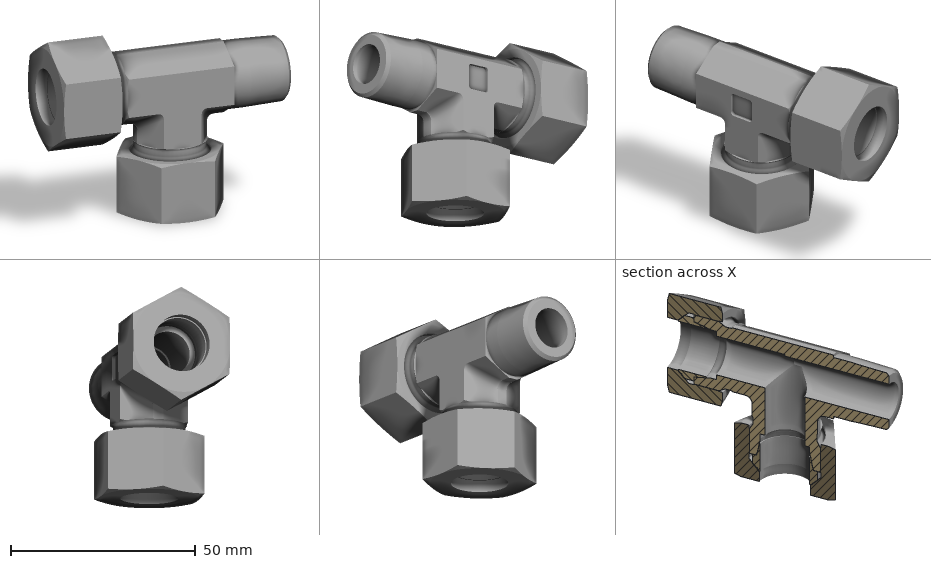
import cadquery as cq
import math


HEX_HALF_ANGLE = math.radians(30)

BODY_ACROSS_FLATS = 19.0
RIDGE_FLAT_WIDTH = 3.0
BODY_CORNER_RADIUS = BODY_ACROSS_FLATS / 2 / math.cos(HEX_HALF_ANGLE)
RIDGE_HEIGHT = BODY_CORNER_RADIUS - RIDGE_FLAT_WIDTH / 2 * math.tan(HEX_HALF_ANGLE)
FLAT_HALF_HEIGHT = BODY_ACROSS_FLATS / 2 * math.tan(HEX_HALF_ANGLE)
STUD_SHOULDER = 15.0
PORT_SHOULDER = 16.0
CROTCH_FILLET = 2.0
EDGE_BOX_MARGIN = 0.1
BODY_CHAMFER_ANGLE = math.radians(30)

STUD_END = 32.0
STUD_DIAMETER = 18.7
STUD_COLLAR_LENGTH = 5.0
STUD_TAPER = 1 / 16
STUD_CHAMFER = 0.9
STUD_BORE = 11.0

THREAD_RADIUS = 22.0 / 2
SHOULDER_RADIUS = 20.38 / 2
PORT_END = 28.0
UNDERCUT_DEPTH_RADIUS = 19.7 / 2
UNDERCUT_FILLET = 0.8
UNDERCUT_FLOOR_END = 18.1
RUNOUT_ANGLE = math.radians(30)
PORT_BORE = 12.0
TUBE_RADIUS = 15.0 / 2
TUBE_STOP = 21.0
SOCKET_MOUTH_RADIUS = 17.3 / 2
SOCKET_HALF_ANGLE = math.radians(12)

BADGE_SIZE = 7.0
BADGE_CORNER = 1.0
BADGE_DEPTH = 1.0

NUT_ACROSS_FLATS = 27.0
NUT_START = 19.0
NUT_END = 36.0
NUT_MOUTH_RADIUS = 22.5 / 2
NUT_BORE_RADIUS = 15.6 / 2
NUT_CHAMFER_ANGLE = math.radians(15)

RING_START = 24.0
RING_END = 32.7
RING_COLLAR_RADIUS = 20.0 / 2


def revolve_about_y(points):
    return cq.Workplane("XY").polyline(points).close().revolve(360, (0, 0), (0, 1))


def to_run_port(part):
    """Turn a part from +Y to the run port on -Y."""
    return part.rotate((0, 0, 0), (0, 0, 1), 180)


def to_branch_port(part):
    """Turn a part from +Y to the branch port on -Z."""
    return part.rotate((0, 0, 0), (1, 0, 0), -90)


PORTS = (to_run_port, to_branch_port)


def hex_bar(across_flats, start, end):
    """Hexagonal bar along Y with two of its flats facing +X and -X."""
    return (
        cq.Workplane("XZ", origin=(0, start, 0))
        .transformed(rotate=(0, 0, 90))
        .polygon(6, across_flats / math.cos(HEX_HALF_ANGLE))
        .extrude(start - end)
    )


def ridged_bar(start, end):
    """Hexagonal body bar with its top and bottom ridges cut flat."""
    trim = (
        cq.Workplane("XZ", origin=(0, start, 0))
        .rect(BODY_ACROSS_FLATS, 2 * RIDGE_HEIGHT)
        .extrude(start - end)
    )
    return hex_bar(BODY_ACROSS_FLATS, start, end).intersect(trim)


def make_tee_blank():
    """Run and branch bars joined, with the corners between them filleted."""
    run = ridged_bar(-PORT_SHOULDER, STUD_SHOULDER)
    branch = to_branch_port(ridged_bar(0, PORT_SHOULDER))
    blank = run.union(branch)
    half_width = BODY_ACROSS_FLATS / 2
    near = FLAT_HALF_HEIGHT + EDGE_BOX_MARGIN
    far = RIDGE_HEIGHT + EDGE_BOX_MARGIN
    for side in (-1, 1):
        crotch = cq.selectors.BoxSelector((-half_width, side * near, -near), (half_width, side * far, -far))
        blank = blank.edges(crotch).fillet(CROTCH_FILLET)
    return blank


def make_stud():
    base_radius = STUD_DIAMETER / 2
    collar_end = STUD_SHOULDER + STUD_COLLAR_LENGTH
    taper_end = STUD_END - STUD_CHAMFER
    tip_radius = base_radius - (taper_end - collar_end) * STUD_TAPER / 2
    return revolve_about_y([
        (0, STUD_SHOULDER),
        (base_radius, STUD_SHOULDER),
        (base_radius, collar_end),
        (tip_radius, taper_end),
        (tip_radius - STUD_CHAMFER, STUD_END),
        (0, STUD_END),
    ])


def make_shoulder_chamfer():
    """Ring to remove from a bar end, leaving its corners chamfered down to the shoulder circle."""
    outer_radius = BODY_CORNER_RADIUS + 1
    drop = (outer_radius - SHOULDER_RADIUS) * math.tan(BODY_CHAMFER_ANGLE)
    return revolve_about_y([
        (SHOULDER_RADIUS, PORT_SHOULDER),
        (outer_radius, PORT_SHOULDER),
        (outer_radius, PORT_SHOULDER - drop),
    ])


def make_spigot():
    """Threaded end of a port, with a rounded undercut next to the shoulder."""
    floor_radius = UNDERCUT_DEPTH_RADIUS
    fillet = UNDERCUT_FILLET
    shoulder_angle = math.acos(1 - (SHOULDER_RADIUS - floor_radius) / fillet)
    floor_start = PORT_SHOULDER + fillet * math.sin(shoulder_angle)

    def shoulder_point(angle):
        return floor_radius + fillet * (1 - math.cos(angle)), floor_start - fillet * math.sin(angle)

    def runout_point(angle):
        return floor_radius + fillet * (1 - math.cos(angle)), UNDERCUT_FLOOR_END + fillet * math.sin(angle)

    cone_radius, cone_start = runout_point(RUNOUT_ANGLE)
    cone_end = cone_start + (THREAD_RADIUS - cone_radius) / math.tan(RUNOUT_ANGLE)
    return (
        cq.Workplane("XY")
        .moveTo(0, PORT_SHOULDER)
        .lineTo(SHOULDER_RADIUS, PORT_SHOULDER)
        .threePointArc(shoulder_point(shoulder_angle / 2), (floor_radius, floor_start))
        .lineTo(floor_radius, UNDERCUT_FLOOR_END)
        .threePointArc(runout_point(RUNOUT_ANGLE / 2), (cone_radius, cone_start))
        .lineTo(THREAD_RADIUS, cone_end)
        .lineTo(THREAD_RADIUS, PORT_END)
        .lineTo(0, PORT_END)
        .close()
        .revolve(360, (0, 0), (0, 1))
    )


def make_port_cavity():
    """Bore, tube socket and conical mouth of a port."""
    cone_length = (SOCKET_MOUTH_RADIUS - TUBE_RADIUS) / math.tan(SOCKET_HALF_ANGLE)
    return revolve_about_y([
        (0, 0),
        (PORT_BORE / 2, 0),
        (PORT_BORE / 2, TUBE_STOP),
        (TUBE_RADIUS, TUBE_STOP),
        (TUBE_RADIUS, PORT_END - cone_length),
        (SOCKET_MOUTH_RADIUS, PORT_END),
        (0, PORT_END),
    ])


def make_badge_pocket():
    return (
        cq.Workplane("YZ", origin=(-BODY_ACROSS_FLATS / 2, 0, 0))
        .rect(BADGE_SIZE, BADGE_SIZE)
        .extrude(BADGE_DEPTH)
        .edges("|X")
        .fillet(BADGE_CORNER)
    )


def make_body():
    body = make_tee_blank().union(make_stud())
    for to_port in PORTS:
        body = body.cut(to_port(make_shoulder_chamfer()))
        body = body.union(to_port(make_spigot()))
    for to_port in PORTS:
        body = body.cut(to_port(make_port_cavity()))
    stud_bore = cq.Workplane("XZ").circle(STUD_BORE / 2).extrude(-STUD_END)
    return body.cut(stud_bore).cut(make_badge_pocket())


def make_nut():
    flat_radius = NUT_ACROSS_FLATS / 2
    corner_radius = flat_radius / math.cos(HEX_HALF_ANGLE)
    chamfer_drop = (corner_radius - flat_radius) * math.tan(NUT_CHAMFER_ANGLE)
    envelope = revolve_about_y([
        (0, NUT_START),
        (flat_radius, NUT_START),
        (corner_radius, NUT_START + chamfer_drop),
        (corner_radius, NUT_END - chamfer_drop),
        (flat_radius, NUT_END),
        (0, NUT_END),
    ])
    cavity = revolve_about_y([
        (0, NUT_START),
        (NUT_MOUTH_RADIUS, NUT_START),
        (THREAD_RADIUS, NUT_START + NUT_MOUTH_RADIUS - THREAD_RADIUS),
        (THREAD_RADIUS, RING_END - (THREAD_RADIUS - NUT_BORE_RADIUS)),
        (NUT_BORE_RADIUS, RING_END),
        (NUT_BORE_RADIUS, NUT_END),
        (0, NUT_END),
    ])
    return hex_bar(NUT_ACROSS_FLATS, NUT_START, NUT_END).intersect(envelope).cut(cavity)


def make_cutting_ring():
    """Ring that fills the socket cone in front and rests on the nut's 45 degree seat behind."""
    nose_radius = SOCKET_MOUTH_RADIUS - (PORT_END - RING_START) * math.tan(SOCKET_HALF_ANGLE)
    return revolve_about_y([
        (TUBE_RADIUS, RING_START),
        (nose_radius, RING_START),
        (SOCKET_MOUTH_RADIUS, PORT_END),
        (RING_COLLAR_RADIUS, PORT_END),
        (RING_COLLAR_RADIUS, RING_END - (RING_COLLAR_RADIUS - NUT_BORE_RADIUS)),
        (NUT_BORE_RADIUS, RING_END),
        (TUBE_RADIUS, RING_END),
    ])


body = make_body()
nuts = [to_port(make_nut()) for to_port in PORTS]
cutting_rings = [to_port(make_cutting_ring()) for to_port in PORTS]

result = cq.Compound.makeCompound([part.val() for part in [body, *nuts, *cutting_rings]])